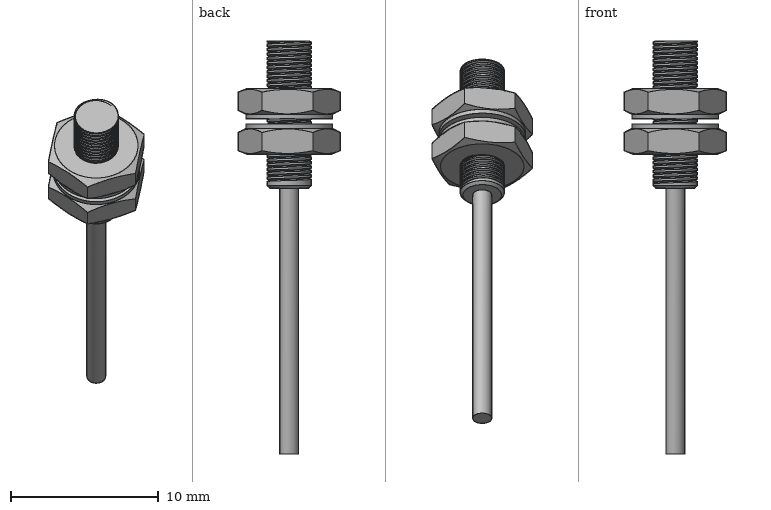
import cadquery as cq
import math

TOTAL_LENGTH = 28.0
BARREL_LENGTH = 10.0
BARREL_DIAMETER = 3.0
BARREL_CHAMFER = 0.2
CABLE_DIAMETER = 1.3

THREAD_LENGTH = 9.6
THREAD_TURNS = 32
THREAD_PITCH = THREAD_LENGTH / THREAD_TURNS
THREAD_DEPTH = 0.15
THREAD_FLANK_ANGLE = 30.0
GROOVE_EXIT_ANGLE = 180.0
GROOVE_OVERSHOOT = 0.03

HEX_ACROSS_FLATS = 6.0
HEX_TURN = -2.2
NUT_HEIGHT = 2.07
COLLAR_HEIGHT = 0.3
COLLAR_DIAMETER = 5.88
NUT_FACE_DIAMETER = 5.65
NUT_FACE_SLOPE = 22.0
COLLAR_SIDE_SLOPE = 28.0
NUT_GAP = 0.35
UPPER_NUT_DEPTH = 3.22

BARREL_RADIUS = BARREL_DIAMETER / 2
BARREL_BOTTOM = TOTAL_LENGTH - BARREL_LENGTH
HEX_ACROSS_CORNERS = HEX_ACROSS_FLATS / math.cos(math.radians(30))
HEX_CORNER_RADIUS = HEX_ACROSS_CORNERS / 2


def make_groove_turns():
    """One-turn pieces of the V-shaped groove, stacked from the thread's lower end past the top face."""
    outer_radius = BARREL_RADIUS + GROOVE_OVERSHOOT
    half_width = (THREAD_DEPTH + GROOVE_OVERSHOOT) * math.tan(math.radians(THREAD_FLANK_ANGLE))
    path = cq.Wire.makeHelix(THREAD_PITCH, THREAD_PITCH, BARREL_RADIUS)
    one_turn = (
        cq.Workplane("XZ")
        .moveTo(BARREL_RADIUS - THREAD_DEPTH, 0)
        .lineTo(outer_radius, half_width)
        .lineTo(outer_radius, -half_width)
        .close()
        .sweep(cq.Workplane(obj=path), isFrenet=True)
        .rotate((0, 0, 0), (0, 0, 1), GROOVE_EXIT_ANGLE)
    )
    turns = []
    for turn in range(THREAD_TURNS + 1):
        turn_z = TOTAL_LENGTH - THREAD_LENGTH + turn * THREAD_PITCH
        turns.append(one_turn.translate((0, 0, turn_z)).val())
    return turns


def make_sensor():
    """Threaded barrel with the cable leaving its lower end."""
    barrel = (
        cq.Workplane("XY", origin=(0, 0, BARREL_BOTTOM))
        .circle(BARREL_RADIUS)
        .extrude(BARREL_LENGTH)
        .faces("<Z")
        .chamfer(BARREL_CHAMFER)
    )
    threaded_barrel = barrel.val().cut(*make_groove_turns())
    cable = cq.Workplane("XY").circle(CABLE_DIAMETER / 2).extrude(BARREL_BOTTOM)
    return cable.union(cq.Workplane(obj=threaded_barrel))


def make_nut():
    """Nut with its collar underneath, standing on Z = 0."""
    face_radius = NUT_FACE_DIAMETER / 2
    collar_radius = COLLAR_DIAMETER / 2
    face_drop = (HEX_CORNER_RADIUS - face_radius) * math.tan(math.radians(NUT_FACE_SLOPE))
    collar_rise = (HEX_CORNER_RADIUS - collar_radius) * math.tan(math.radians(COLLAR_SIDE_SLOPE))

    hexagon = (
        cq.Workplane("XY")
        .polygon(6, HEX_ACROSS_CORNERS)
        .extrude(NUT_HEIGHT)
        .rotate((0, 0, 0), (0, 0, 1), HEX_TURN)
    )
    turned_outline = (
        cq.Workplane("XZ")
        .moveTo(BARREL_RADIUS, 0)
        .lineTo(collar_radius, 0)
        .lineTo(collar_radius, COLLAR_HEIGHT)
        .lineTo(HEX_CORNER_RADIUS, COLLAR_HEIGHT + collar_rise)
        .lineTo(HEX_CORNER_RADIUS, NUT_HEIGHT - face_drop)
        .lineTo(face_radius, NUT_HEIGHT)
        .lineTo(BARREL_RADIUS, NUT_HEIGHT)
        .close()
        .revolve(360, (0, 0, 0), (0, 1, 0))
    )
    return hexagon.intersect(turned_outline)


sensor = make_sensor()
upper_collar_z = TOTAL_LENGTH - UPPER_NUT_DEPTH - NUT_HEIGHT
lower_collar_z = upper_collar_z - NUT_GAP
nuts = []
for collar_z, collar_up in ((upper_collar_z, False), (lower_collar_z, True)):
    nut = make_nut()
    if collar_up:
        nut = nut.mirror("XY")
    nuts.append(nut.translate((0, 0, collar_z)))

result = cq.Compound.makeCompound([sensor.val(), *[nut.val() for nut in nuts]])